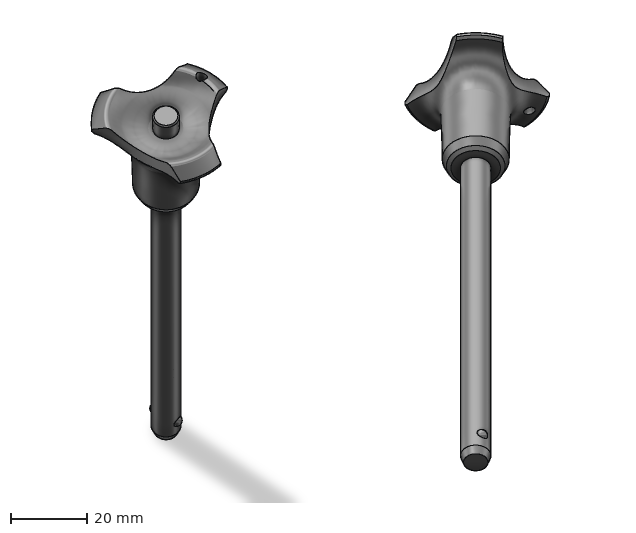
import cadquery as cq
import math


shank_radius = 4.0
shank_length = 108.2
tip_radius = 3.2
tip_taper_length = 2.4

ball_radius = 1.6
ball_reach = 4.9
ball_height_above_tip = 7.0

total_length = 141.5
handle_top = total_length - shank_length
base_radius = 6.5
base_step_radius = 7.7
base_step_height = 0.7
grip_bottom_radius = 8.8
grip_bottom_height = 3.2
grip_top_radius = 9.15
grip_top_height = 20.0

rim_radius = 19.63
rim_bottom = handle_top - 4.4
rim_top = handle_top - 2.8
rim_lower_chamfer = 0.7
flare_mid_radius = 12.0
flare_mid_height = handle_top - 7.3
crest_outer_radius = 16.4
crest_inner_radius = 14.9
crest_radius = (crest_outer_radius + crest_inner_radius) / 2
crest_edge_height = handle_top - 0.25

dish_mid_radius = 11.2
dish_mid_height = handle_top - 3.2
dish_floor_radius = 4.6
dish_floor_height = handle_top - 5.6

side_scallop_radius = 21.0
side_scallop_angle = 32.0
front_scallop_radius = 51.0
front_scallop_angle = -90.0
throat_radius = 11.3

button_radius = 3.5
button_chamfer = 0.4
lanyard_hole_diameter = 3.0
lanyard_hole_offset = 16.0


def make_handle_blank():
    """Revolved grip with a flared head and a dished top."""
    profile = (
        cq.Workplane("XZ")
        .moveTo(0, 0)
        .lineTo(base_radius, 0)
        .lineTo(base_step_radius, base_step_height)
        .lineTo(grip_bottom_radius, grip_bottom_height)
        .lineTo(grip_top_radius, grip_top_height)
        .threePointArc((flare_mid_radius, flare_mid_height), (rim_radius - rim_lower_chamfer, rim_bottom))
        .lineTo(rim_radius, rim_bottom + rim_lower_chamfer)
        .lineTo(rim_radius, rim_top)
        .lineTo(crest_outer_radius, crest_edge_height)
        .threePointArc((crest_radius, handle_top), (crest_inner_radius, crest_edge_height))
        .threePointArc((dish_mid_radius, dish_mid_height), (dish_floor_radius, dish_floor_height))
        .lineTo(0, dish_floor_height)
        .close()
    )
    return profile.revolve(360, (0, 0, 0), (0, 1, 0))


def make_scallop(radius, angle):
    """Upright cutter whose nearest point to the axis is at the throat radius."""
    distance = throat_radius + radius
    x = distance * math.cos(math.radians(angle))
    y = distance * math.sin(math.radians(angle))
    return cq.Workplane("XY").center(x, y).circle(radius).extrude(handle_top)


def make_handle():
    handle = make_handle_blank()
    handle = handle.cut(make_scallop(side_scallop_radius, side_scallop_angle))
    handle = handle.cut(make_scallop(side_scallop_radius, 180 - side_scallop_angle))
    handle = handle.cut(make_scallop(front_scallop_radius, front_scallop_angle))
    lanyard_hole = (
        cq.Workplane("XY")
        .center(0, lanyard_hole_offset)
        .circle(lanyard_hole_diameter / 2)
        .extrude(handle_top)
    )
    return handle.cut(lanyard_hole)


def make_button():
    """Release button that ends level with the top of the handle."""
    return (
        cq.Workplane("XY")
        .circle(button_radius)
        .extrude(handle_top)
        .faces(">Z")
        .chamfer(button_chamfer)
    )


def make_shank():
    """Round shank with a tapered tip."""
    profile = (
        cq.Workplane("XZ")
        .moveTo(0, -shank_length)
        .lineTo(tip_radius, -shank_length)
        .lineTo(shank_radius, tip_taper_length - shank_length)
        .lineTo(shank_radius, grip_bottom_height)
        .lineTo(0, grip_bottom_height)
        .close()
    )
    return profile.revolve(360, (0, 0, 0), (0, 1, 0))


def make_ball(side):
    ball_offset = side * (ball_reach - ball_radius)
    ball_height = ball_height_above_tip - shank_length
    return cq.Workplane("XY").sphere(ball_radius).translate((ball_offset, 0, ball_height))


result = make_handle().union(make_button()).union(make_shank())
for side in (-1, 1):
    result = result.union(make_ball(side))